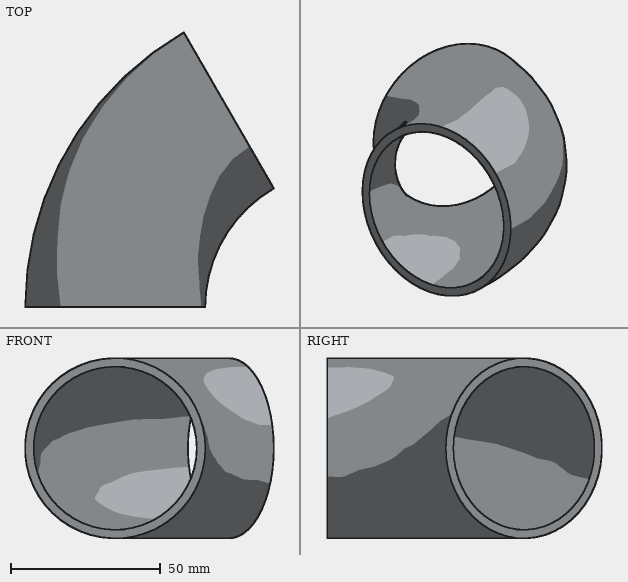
import cadquery as cq

outer_diameter = 60.3
wall_thickness = 2.9
bend_radius = 76.0
bend_angle = 60.0

outer_radius = outer_diameter / 2
inner_radius = outer_radius - wall_thickness


def pipe_elbow():
    """Sweep the pipe ring from the Y = 0 end face toward +Y, bending toward +X."""
    ring = cq.Workplane("XZ").circle(outer_radius).circle(inner_radius)
    axis_start = (bend_radius, 0)
    axis_end = (bend_radius, -1)
    return ring.revolve(bend_angle, axis_start, axis_end)


result = pipe_elbow()